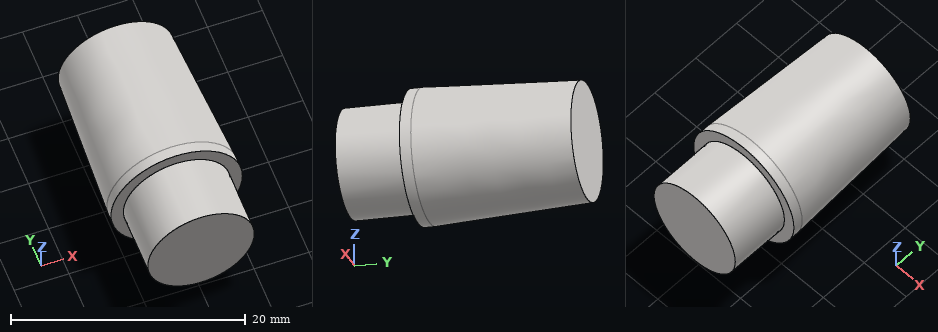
import cadquery as cq

total_length = 21.0
spigot_diameter = 9.72
spigot_length = 6.0
collar_diameter = 12.0
collar_length = 1.0
body_end_diameter = 10.56

spigot_end_y = -total_length / 2
shoulder_y = spigot_end_y + spigot_length
taper_start_y = shoulder_y + collar_length
body_end_y = total_length / 2

profile = (
    cq.Workplane("XY")
    .moveTo(0, spigot_end_y)
    .lineTo(spigot_diameter / 2, spigot_end_y)
    .lineTo(spigot_diameter / 2, shoulder_y)
    .lineTo(collar_diameter / 2, shoulder_y)
    .lineTo(collar_diameter / 2, taper_start_y)
    .lineTo(body_end_diameter / 2, body_end_y)
    .lineTo(0, body_end_y)
    .close()
)

result = profile.revolve(360, (0, 0, 0), (0, 1, 0))